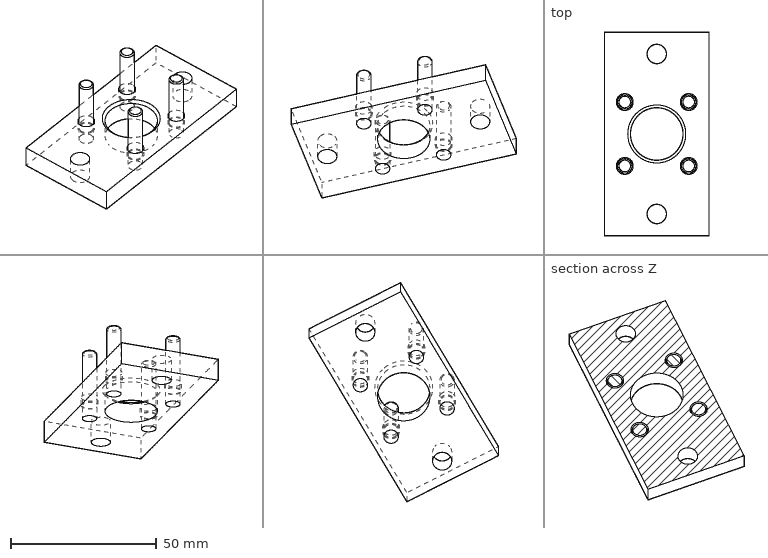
import cadquery as cq

plate_length = 70.0
plate_width = 36.0
plate_thickness = 8.0

bore_diameter = 18.0
bore_chamfer = 1.0

mounting_hole_diameter = 6.6
mounting_hole_spacing = 55.0

pin_diameter = 5.0
pin_spacing = 22.0
pin_top_height = 25.0
pin_chamfer = 0.5

clearance_diameter = 5.8
clearance_depth = 3.0

pin_centres = [
    (x, y)
    for x in (-pin_spacing / 2, pin_spacing / 2)
    for y in (-pin_spacing / 2, pin_spacing / 2)
]
mounting_hole_centres = [(0, -mounting_hole_spacing / 2), (0, mounting_hole_spacing / 2)]


def make_blank():
    """Rectangular plate with its bottom face at Z = 0."""
    return cq.Workplane("XY").box(
        plate_width, plate_length, plate_thickness, centered=(True, True, False)
    )


def cut_bore(plate):
    """Through bore in the middle with a 45 degree chamfer at the top."""
    top = plate.faces(">Z").workplane(origin=(0, 0, plate_thickness))
    return top.cskHole(bore_diameter, bore_diameter + 2 * bore_chamfer, 90)


def cut_mounting_holes(plate):
    """Plain through holes near the two short ends."""
    top = plate.faces(">Z").workplane(origin=(0, 0, plate_thickness))
    return top.pushPoints(mounting_hole_centres).hole(mounting_hole_diameter)


def cut_pin_holes(plate):
    """Close-fitting through holes for the pins, widened near the top face."""
    top = plate.faces(">Z").workplane(origin=(0, 0, plate_thickness))
    return top.pushPoints(pin_centres).cboreHole(pin_diameter, clearance_diameter, clearance_depth)


def make_pin(x, y):
    """Round pin from the plate's bottom face upward, chamfered at its top end."""
    pin = cq.Workplane("XY").center(x, y).circle(pin_diameter / 2).extrude(pin_top_height)
    return pin.faces(">Z").chamfer(pin_chamfer)


plate = make_blank()
plate = cut_bore(plate)
plate = cut_mounting_holes(plate)
plate = cut_pin_holes(plate)

pins = []
for x, y in pin_centres:
    pins.append(make_pin(x, y).val())

result = cq.Compound.makeCompound([plate.val(), *pins])